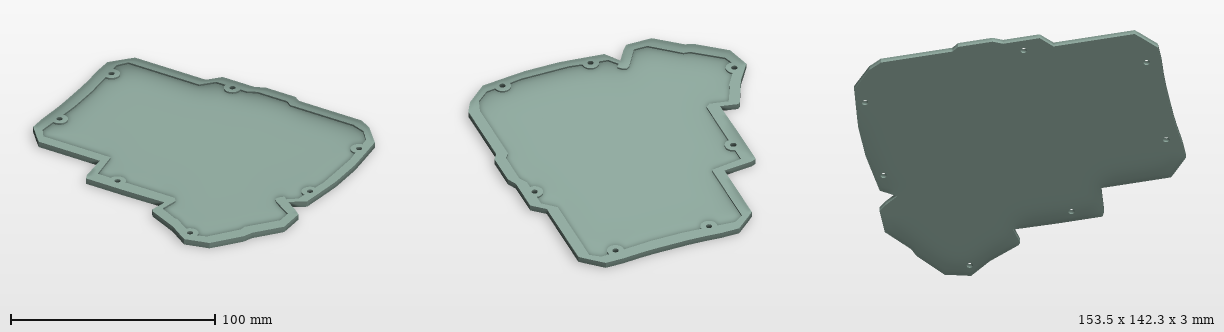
import cadquery as cq


length = 153.5
width = 142.3
thickness = 3.0
pocket_depth = 0.9

rim = 5.5
right_rim = 4.8

left_mid_y = 87.6
right_mid_y = 93.5

rear_left_y = 133.5
rear_right_y = 140.0
front_left_y = 2 * left_mid_y - rear_left_y
front_step_y = 24.1

hole_diameter = 3.0
lug_diameter = 8.5
left_screw_x = 7.2
left_screw_mid_y = 90.1
left_screw_offset = 24.7
right_screw_x = 147.2
right_screw_offset = 23.3
rear_screw = (64.8, 133.8)
front_screw = (61.4, 30.1)
corner_screw = (116.8, 6.6)


def with_mirror(points, mid_y):
    """Continue a run of points with its reflection about the line y = mid_y."""
    reflected = [(x, 2 * mid_y - y) for x, y in reversed(points)]
    return points + reflected


def prism(points, height):
    """Extrude a closed outline upward from the XY plane."""
    return cq.Workplane("XY").polyline(points).close().extrude(height)


left_edge = with_mirror(
    [
        (9.5, front_left_y),
        (6.9, 44.5),
        (0.0, 52.3),
        (0.0, 61.5),
        (0.8, 71.4),
        (1.0, 78.5),
    ],
    left_mid_y,
)

rear_edge = [
    (49.9, rear_left_y),
    (55.5, rear_right_y),
    (73.8, rear_right_y),
    (78.6, width),
    (95.8, width),
    (99.0, rear_right_y),
    (134.8, rear_right_y),
    (141.2, 136.5),
]

right_edge = with_mirror(
    [
        (150.9, 125.7),
        (152.7, 109.7),
        (length, 102.4),
    ],
    right_mid_y,
)

thumb_edge = [
    (143.2, 56.0),
    (149.8, 51.7),
    (length, 48.7),
    (length, 35.1),
    (142.9, 22.1),
    (141.2, 17.5),
    (139.0, 14.7),
    (130.0, 3.2),
    (126.3, 2.3),
    (117.4, 0.0),
    (106.5, 7.4),
    (90.9, 14.5),
    (89.8, 15.8),
    (91.6, 24.5),
]

front_edge = [
    (68.9, front_step_y),
    (47.1, front_step_y),
    (45.9, 26.5),
    (44.4, front_left_y),
]

outer_outline = left_edge + rear_edge + right_edge + thumb_edge + front_edge

pocket_left = with_mirror(
    [
        (8.9, front_left_y + rim),
        (5.4, 52.3),
        (6.5, 65.2),
        (7.5, 79.3),
    ],
    left_mid_y,
)

pocket_rear = [
    (49.3, rear_left_y - rim),
    (55.1, rear_right_y - rim),
    (72.7, rear_right_y - rim),
    (77.2, width - rim),
    (94.2, width - rim),
    (97.3, rear_right_y - rim),
    (133.2, rear_right_y - rim),
    (140.5, 132.0),
]

pocket_right = with_mirror(
    [
        (146.0, 125.5),
        (147.6, 112.7),
        (length - right_rim, 106.0),
    ],
    right_mid_y,
)

pocket_tongue = [
    (141.2, 57.7),
    (139.0, 59.4),
    (137.0, 57.4),
    (136.3, 55.5),
    (137.7, 53.5),
]

pocket_thumb = [
    (length - right_rim, 46.5),
    (length - right_rim, 39.5),
    (136.9, 25.2),
    (136.5, 22.0),
    (125.7, 7.8),
    (121.1, 6.3),
    (113.1, 9.0),
    (105.1, 14.3),
    (103.1, 14.6),
    (93.6, 19.2),
    (95.5, 28.7),
]

pocket_front = [
    (93.6, 30.8),
    (49.7, 30.8),
    (47.3, front_left_y + rim),
]

pocket_outline = (
    pocket_left + pocket_rear + pocket_right + pocket_tongue + pocket_thumb + pocket_front
)

screws = [rear_screw, front_screw, corner_screw]
for side in (-1, 1):
    screws.append((left_screw_x, left_screw_mid_y + side * left_screw_offset))
    screws.append((right_screw_x, right_mid_y + side * right_screw_offset))

plate = prism(outer_outline, thickness)

lugs = cq.Workplane("XY").pushPoints(screws).circle(lug_diameter / 2).extrude(pocket_depth)
pocket = prism(pocket_outline, pocket_depth).cut(lugs)
plate = plate.cut(pocket.translate((0, 0, thickness - pocket_depth)))

holes = cq.Workplane("XY").pushPoints(screws).circle(hole_diameter / 2).extrude(thickness)
result = plate.cut(holes)